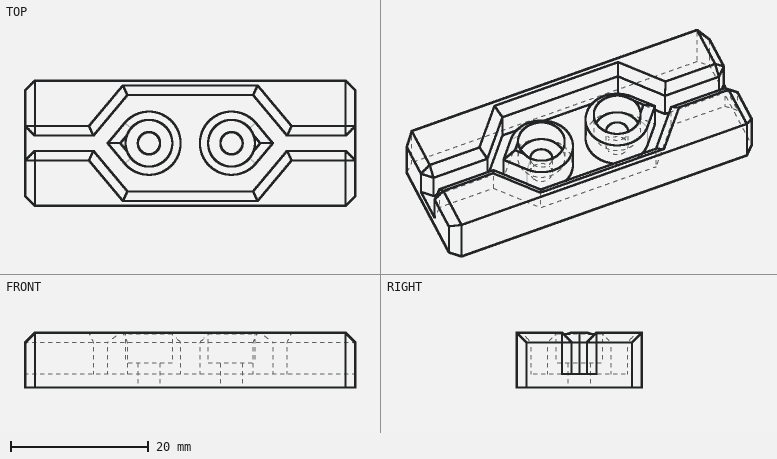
import cadquery as cq
import math

LENGTH = 48.0
WIDTH = 18.2
HEIGHT = 8.0
CHAMFER = 1.4

FLOOR_Z = 2.0
SLOT_WIDTH = 2.2
POCKET_WIDTH = 14.0
FLARE_GAP = 2.3

BOSS_SPACING = 12.0
BOSS_RADIUS = 4.6
TIP_REACH = 6.0
SCREW_DIAMETER = 3.2
HEAD_DIAMETER = 6.8
HEAD_SEAT_Z = 3.6

flare_angle = math.asin(BOSS_RADIUS / TIP_REACH)
boss_x = BOSS_SPACING / 2
slot_half = SLOT_WIDTH / 2
pocket_half = POCKET_WIDTH / 2


def flare_x(y):
    """X of the flared channel wall at distance y from the centre line."""
    centre_line_x = boss_x + (BOSS_RADIUS + FLARE_GAP) / math.sin(flare_angle)
    return centre_line_x - y / math.tan(flare_angle)


def make_channel():
    """Straight slot along X that widens into a hexagonal pocket in the middle."""
    depth = HEIGHT - FLOOR_Z
    slot = cq.Workplane("XY", origin=(0, 0, FLOOR_Z)).rect(LENGTH, SLOT_WIDTH).extrude(depth)
    mouth_x = flare_x(slot_half)
    shoulder_x = flare_x(pocket_half)
    pocket = (
        cq.Workplane("XY", origin=(0, 0, FLOOR_Z))
        .moveTo(-mouth_x, slot_half)
        .lineTo(-shoulder_x, pocket_half)
        .lineTo(shoulder_x, pocket_half)
        .lineTo(mouth_x, slot_half)
        .lineTo(mouth_x, -slot_half)
        .lineTo(shoulder_x, -pocket_half)
        .lineTo(-shoulder_x, -pocket_half)
        .lineTo(-mouth_x, -slot_half)
        .close()
        .extrude(depth)
    )
    return slot.union(pocket)


def make_body():
    """Block with the channel cut in; its end corners, end rims and channel rims are chamfered."""
    block = cq.Workplane("XY").box(LENGTH, WIDTH, HEIGHT, centered=(True, True, False))
    body = block.cut(make_channel())
    top_rims = body.faces(">Z").edges("not (>Y or <Y)")
    end_corners = body.edges("|Z and (>X or <X)")
    return top_rims.add(end_corners).chamfer(CHAMFER)


def make_boss(side):
    """Teardrop boss on the given side (-1 or +1), its point towards that end of the block."""
    tangent_x = side * (boss_x + BOSS_RADIUS * math.sin(flare_angle))
    tangent_y = BOSS_RADIUS * math.cos(flare_angle)
    boss = (
        cq.Workplane("XY", origin=(0, 0, FLOOR_Z))
        .moveTo(side * (boss_x + TIP_REACH), 0)
        .lineTo(tangent_x, tangent_y)
        .threePointArc((side * (boss_x - BOSS_RADIUS), 0), (tangent_x, -tangent_y))
        .close()
        .extrude(HEIGHT - FLOOR_Z)
    )
    return boss.faces(">Z").edges().chamfer(CHAMFER)


def make_screw_hole(side):
    """Through hole with a wide recess for the screw head."""
    centre = side * boss_x
    shank = cq.Workplane("XY").center(centre, 0).circle(SCREW_DIAMETER / 2).extrude(HEIGHT)
    head = (
        cq.Workplane("XY", origin=(0, 0, HEAD_SEAT_Z))
        .center(centre, 0)
        .circle(HEAD_DIAMETER / 2)
        .extrude(HEIGHT - HEAD_SEAT_Z)
    )
    return shank.union(head)


result = make_body()
for end in (-1, 1):
    result = result.union(make_boss(end)).cut(make_screw_hole(end))